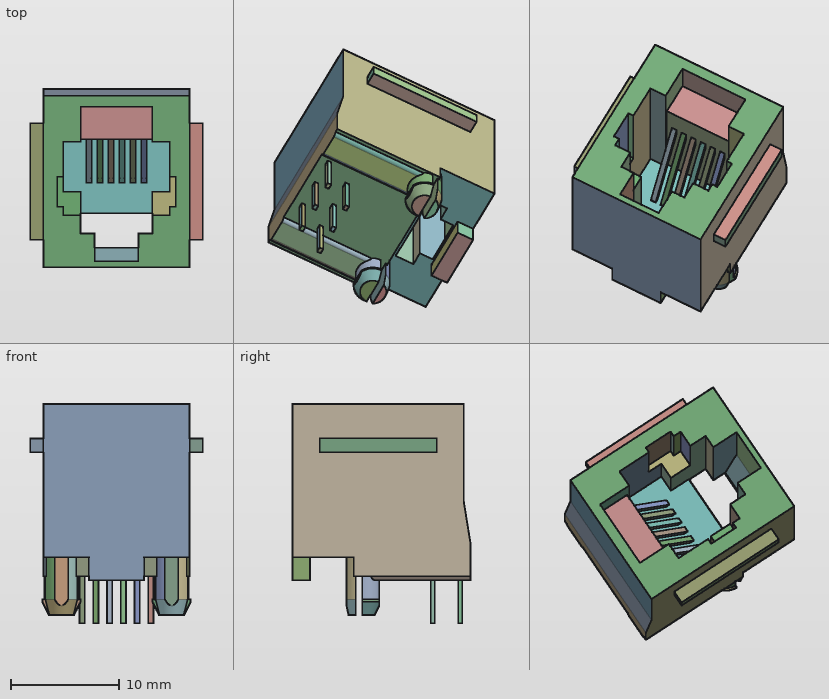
import cadquery as cq
import math


housing_width = 13.55
housing_depth = 16.51
pin_length = 3.97
overall_height = 20.32
top_z = overall_height - pin_length
base_z = 0.38
front_recess_depth = 5.69
front_recess_z = 2.14
back_step = 0.63
back_slope_top_z = 7.3
back_slope_bottom_z = 3.4

foot_width = 5.13
foot_depth = 1.64
rib_width = 2.68
rib_round = 0.36

overall_width = 16.0
rail_front_y = 2.55
rail_length = 10.8
rail_thickness = 1.3
rail_drop = 3.2
rail_top_z = top_z - rail_drop

channel_width = 6.65
channel_front_y = 3.14
channel_back_y = 14.87
plug_width = 9.87
plug_front_y = 6.99
plug_back_y = 11.64
shoulder_front_y = 4.84
shoulder_floor_z = 8.0
side_notch_width = 10.94
side_notch_front_y = 5.61
side_notch_back_y = 8.37
cavity_floor_z = 2.5
floor_front_y = 4.99
contact_block_front_y = 11.87
contact_block_drop = 3.4
contact_block_top_z = top_z - contact_block_drop

latch_width = 4.06
latch_mouth_y = 0.56
latch_throat_y = 1.81
latch_ramp_height = 4.6

contact_count = 6
contact_pitch = 1.02
contact_width = 0.5
contact_thickness = 0.4
contact_top_z = 10.15
contact_tip_y = 7.84
contact_angle = math.radians(62)
pin_pitch = 1.27
pin_width = 0.5
pin_thickness = 0.38
back_row_y = 15.54
row_spacing = 2.54
pin_embed = 1.0

peg_x = 5.1
peg_y = 6.46
peg_radius = 1.59
peg_tip_z = -3.2
peg_taper_z = -1.75
front_tip_radius = 1.26
peg_flat_offset = 1.46
peg_slot = 0.58
barb_radius = 1.78
barb_band = 0.22
barb_tip_radius = 1.17


def block(width, y_range, z_range, x_center=0):
    """Box centred on x_center, spanning the given Y and Z ranges."""
    length = y_range[1] - y_range[0]
    height = z_range[1] - z_range[0]
    box = cq.Workplane("XY").box(width, length, height, centered=(True, False, False))
    return box.translate((x_center, y_range[0], z_range[0]))


def side_profile(points, width, x_center=0):
    """Closed (Y, Z) outline extruded along X, centred on x_center."""
    outline = cq.Workplane("YZ").polyline(points).close()
    return outline.extrude(width / 2, both=True).translate((x_center, 0, 0))


def make_housing():
    shell = side_profile(
        [
            (0, top_z),
            (0, front_recess_z),
            (front_recess_depth, front_recess_z),
            (front_recess_depth, base_z),
            (housing_depth, base_z),
            (housing_depth, back_slope_bottom_z),
            (housing_depth - back_step, back_slope_top_z),
            (housing_depth - back_step, top_z),
        ],
        housing_width,
    )
    foot = block(foot_width, (0, foot_depth), (0, front_recess_z))
    rails = block(
        overall_width,
        (rail_front_y, rail_front_y + rail_length),
        (rail_top_z - rail_thickness, rail_top_z),
    )
    return shell.union(foot).union(rails)


def make_rib(x):
    """Round-edged rib running from the peg to the back face."""
    rib = block(rib_width, (peg_y, housing_depth), (0, 2 * base_z), x)
    return rib.faces("<Z").edges("|Y").fillet(rib_round)


def make_cavity():
    channel = block(channel_width, (channel_front_y, contact_block_front_y), (cavity_floor_z, top_z))
    plug = block(plug_width, (plug_front_y, plug_back_y), (cavity_floor_z, top_z))
    upper_channel = block(channel_width, (channel_front_y, channel_back_y), (contact_block_top_z, top_z))
    shoulder = block(plug_width, (shoulder_front_y, plug_front_y), (shoulder_floor_z, top_z))
    side_notch = block(side_notch_width, (side_notch_front_y, side_notch_back_y), (shoulder_floor_z, top_z))
    opening = block(channel_width, (channel_front_y, floor_front_y), (0, top_z))
    latch = side_profile(
        [
            (latch_mouth_y, top_z),
            (latch_mouth_y, front_recess_z + latch_ramp_height),
            (latch_throat_y, front_recess_z),
            (latch_throat_y, 0),
            (floor_front_y, 0),
            (floor_front_y, top_z),
        ],
        latch_width,
    )
    cavity = channel
    for pocket in (plug, upper_channel, shoulder, side_notch, opening, latch):
        cavity = cavity.union(pocket)
    return cavity


def make_contact(x):
    """Sloping spring contact running from the contact block towards the front."""
    reach = contact_block_front_y - contact_tip_y
    tip_z = contact_top_z - reach * math.tan(contact_angle)
    drop = contact_thickness / math.cos(contact_angle)
    return side_profile(
        [
            (contact_block_front_y, contact_top_z),
            (contact_tip_y, tip_z),
            (contact_tip_y, tip_z - drop),
            (contact_block_front_y, contact_top_z - drop),
        ],
        contact_width,
        x,
    )


def make_pin(x, y):
    half = pin_thickness / 2
    return block(pin_width, (y - half, y + half), (-pin_length, pin_embed), x)


def revolved(points):
    """Closed (radius, Z) outline turned about the Z axis."""
    return cq.Workplane("XZ").polyline(points).close().revolve(360, (0, 0), (0, 1))


def make_peg(x):
    """Split peg: a flat-fronted half and a barbed rear half, divided by a slot."""
    root_z = front_recess_z
    front = revolved(
        [
            (0, root_z),
            (peg_radius, root_z),
            (peg_radius, peg_taper_z),
            (front_tip_radius, peg_tip_z),
            (0, peg_tip_z),
        ]
    ).intersect(block(2 * barb_radius, (-peg_flat_offset, -peg_slot), (peg_tip_z, root_z)))
    rear = revolved(
        [
            (0, root_z),
            (peg_radius, root_z),
            (peg_radius, peg_taper_z),
            (barb_radius, peg_taper_z),
            (barb_radius, peg_taper_z - barb_band),
            (barb_tip_radius, peg_tip_z),
            (0, peg_tip_z),
        ]
    ).intersect(block(2 * barb_radius, (0, peg_radius), (peg_tip_z, root_z)))
    return front.union(rear).translate((x, peg_y, 0))


def centred_row(count, pitch):
    return [(index - (count - 1) / 2) * pitch for index in range(count)]


result = make_housing().cut(make_cavity())
for x in centred_row(contact_count, contact_pitch):
    result = result.union(make_contact(x))
for index, x in enumerate(centred_row(contact_count, pin_pitch)):
    result = result.union(make_pin(x, back_row_y - (index % 2) * row_spacing))
for x in (-peg_x, peg_x):
    result = result.union(make_rib(x)).union(make_peg(x))